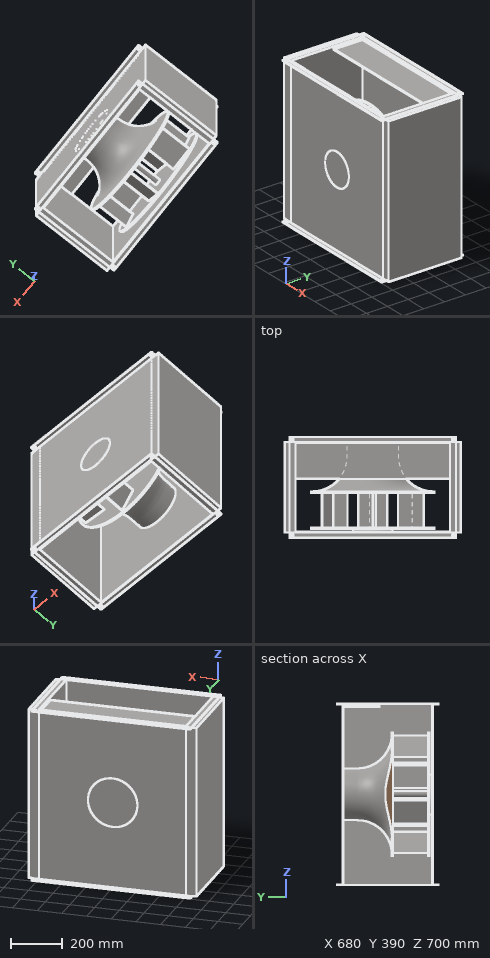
import cadquery as cq
import math

casing_width = 680.0
casing_depth = 350.0
total_height = 700.0

flange_width = 643.0
flange_depth = 390.0
flange_border = 24.0
flange_thickness = 3.0
hole_diameter = 8.5
hole_inset = 10.5

shelf_front = 32.0
shelf_thickness = 3.0
shelf_drop = 10.0

wheel_radius = 238.0
plate_thickness = 5.5
back_plate_y = -161.0
shroud_y = -21.0
hub_radius = 77.0
shaft_radius = 13.0

inlet_radius = 100.0
flare_start_y = 116.0

blade_count = 6
blade_tip_radius = 226.0
blade_root_x = -57.5
blade_root_z = 145.0
blade_thickness = 2.0

casing_height = total_height - 2 * flange_thickness
opening_width = flange_width - 2 * flange_border
opening_depth = flange_depth - 2 * flange_border
shroud_back = shroud_y + plate_thickness
flare_radius = flare_start_y - shroud_back


def disc(radius, start_y, length):
    """Cylinder on the wheel axis, growing toward +Y."""
    plane = cq.Workplane("XZ", origin=(0, start_y, 0))
    return plane.circle(radius).extrude(-length)


def make_casing():
    """Rectangular duct whose inside matches the flange opening."""
    outer = cq.Workplane("XY").box(casing_width, casing_depth, casing_height)
    inner = cq.Workplane("XY").box(opening_width, opening_depth, casing_height)
    return outer.cut(inner)


def make_flange(bottom_z):
    """Flat duct frame with a hole in each corner."""
    return (
        cq.Workplane("XY", origin=(0, 0, bottom_z))
        .rect(flange_width, flange_depth)
        .rect(opening_width, opening_depth)
        .extrude(flange_thickness)
        .faces(">Z")
        .workplane(origin=(0, 0, bottom_z))
        .rect(flange_width - 2 * hole_inset, flange_depth - 2 * hole_inset, forConstruction=True)
        .vertices()
        .hole(hole_diameter)
    )


def make_shelf():
    """Level shelf along the rear wall, just below the top opening."""
    depth = opening_depth / 2 - shelf_front
    bottom = total_height / 2 - shelf_drop - shelf_thickness
    shelf = cq.Workplane("XY").box(opening_width, depth, shelf_thickness, centered=(True, False, False))
    return shelf.translate((0, shelf_front, bottom))


def make_inlet():
    """Round body from the rear wall, flaring in a quarter arc to meet the shroud."""
    arc_offset = flare_radius * math.sqrt(0.5)
    mouth_radius = inlet_radius + flare_radius
    return (
        cq.Workplane("XY")
        .moveTo(0, opening_depth / 2)
        .lineTo(inlet_radius, opening_depth / 2)
        .lineTo(inlet_radius, flare_start_y)
        .threePointArc(
            (mouth_radius - arc_offset, flare_start_y - arc_offset),
            (mouth_radius, shroud_back),
        )
        .lineTo(0, shroud_back)
        .close()
        .revolve(360, (0, 0, 0), (0, 1, 0))
    )


def make_blades():
    """Flat backward-leaning blades, trimmed to a common tip circle."""
    start_y = back_plate_y + plate_thickness
    length = shroud_y - start_y
    reach = blade_tip_radius - blade_root_z
    lean = math.degrees(math.atan2(reach, -blade_root_x))
    blade_length = 2 * math.hypot(reach, blade_root_x)
    blade = (
        cq.Workplane("XY")
        .box(blade_length, length, blade_thickness, centered=(False, False, False))
        .translate((0, start_y, -blade_thickness))
        .rotate((0, 0, 0), (0, 1, 0), -lean)
        .translate((blade_root_x, 0, blade_root_z))
        .intersect(disc(blade_tip_radius, start_y, length))
    )
    blades = cq.Workplane("XY")
    for index in range(blade_count):
        blades = blades.add(blade.rotate((0, 0, 0), (0, 1, 0), index * 360 / blade_count))
    return blades


def make_wheel():
    """Back plate on its hub, shaft, blades and shroud disc."""
    back_plate = disc(wheel_radius, back_plate_y, plate_thickness)
    hub = disc(hub_radius, -casing_depth / 2, back_plate_y + casing_depth / 2)
    shaft = disc(shaft_radius, back_plate_y, shroud_y - back_plate_y)
    shroud = disc(wheel_radius, shroud_y, plate_thickness)
    wheel = back_plate.union(hub).union(shaft).union(shroud)
    for blade in make_blades().vals():
        wheel = wheel.union(cq.Workplane(blade))
    return wheel


result = (
    make_casing()
    .union(make_flange(casing_height / 2))
    .union(make_flange(-total_height / 2))
    .union(make_shelf())
    .union(make_wheel())
    .union(make_inlet())
)